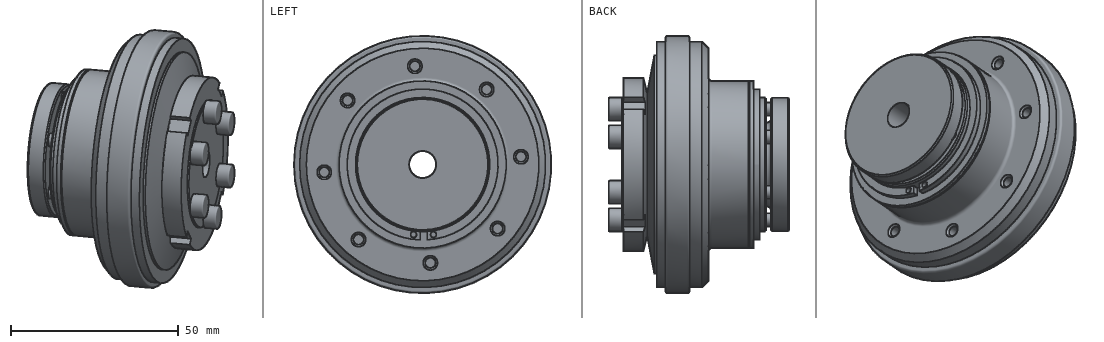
import cadquery as cq
import math


DISC_END = 5.55
COLLAR_START = 6.9
COLLAR_END = 8.8
SNAP_RING_END = 10.6
NOSE_END = 11.85
BODY_END = 24.1
RIM_START = 29.8
RIM_END = 37.0
FLANGE_END = 39.65
CONE_START = 40.35
WAIST = 42.5
LOBE_START = 43.6
LOBE_END = 49.6
HUB_END = 50.05
OVERALL_LENGTH = 54.0

BORE_D = 8.0
DISC_D = 40.0
NECK_D = 25.25
COLLAR_D = 40.1
SNAP_RING_D = 45.1
BODY_D = 50.0
BODY_ROOT_D = 52.0
FLANGE_D = 73.5
RIM_D = 77.0
CONE_D = 65.45
WAIST_D = 42.9
LOBE_D = 52.0
HUB_D = 38.5

DISC_CHAMFER = 0.5
COLLAR_CHAMFER = 0.5
SEAM_CHAMFER = 0.4
FLANGE_CHAMFER = 2.0
RIM_FILLET = 0.7
NECK_FILLET = 1.0
HUB_CHAMFER = 0.2

RING_GAP = 2.1
RING_GAP_OFFSET = -0.27
PLIER_HOLE_D = 1.8
PLIER_HOLE_SPACING = 5.9
PLIER_HOLE_DROP = 20.95

SCREW_COUNT = 6
SCREW_CIRCLE_D = 33.1
SHANK_D = 4.0
HEAD_D = 7.0
HEAD_FILLET = 0.4

TAPPED_COUNT = 8
TAPPED_CIRCLE_D = 59.0
TAPPED_D = 3.1
TAPPED_MOUTH_D = 4.3
TAPPED_DEPTH = 8.0
TAPPED_START_ANGLE = 4.5

NOTCH_COUNT = 4
NOTCH_WIDTH = 5.1
NOTCH_FLOOR = 23.9
NOTCH_START_ANGLE = 45.0

EMBED = 0.8


def polar_points(count, circle_d, start_angle):
    """(y, z) points on a circle, angles measured from +Z toward +Y."""
    points = []
    for i in range(count):
        angle = math.radians(start_angle + i * 360.0 / count)
        points.append((circle_d / 2 * math.sin(angle), circle_d / 2 * math.cos(angle)))
    return points


def section_plane(x):
    """Plane across the axis at x, with local axes along +Y and +Z and normal +X."""
    return cq.Plane(origin=(x, 0, 0), xDir=(0, 1, 0), normal=(1, 0, 0))


def turned_body():
    """Half section of all coaxial steps, revolved about X."""
    arc_mid = 1 - math.sqrt(0.5)
    fillet_drop = NECK_FILLET * arc_mid
    fillet_end = DISC_END + NECK_FILLET
    rim_r = RIM_D / 2
    rim_drop = RIM_FILLET * arc_mid
    root_fillet = (BODY_ROOT_D - BODY_D) / 2
    root_drop = root_fillet * arc_mid
    half_section = (
        cq.Workplane("XY")
        .moveTo(0, BORE_D / 2)
        .lineTo(0, DISC_D / 2 - DISC_CHAMFER)
        .lineTo(DISC_CHAMFER, DISC_D / 2)
        .lineTo(DISC_END - DISC_CHAMFER, DISC_D / 2)
        .lineTo(DISC_END, DISC_D / 2 - DISC_CHAMFER)
        .lineTo(DISC_END, NECK_D / 2 + NECK_FILLET)
        .threePointArc((DISC_END + fillet_drop, NECK_D / 2 + fillet_drop), (fillet_end, NECK_D / 2))
        .lineTo(COLLAR_START, NECK_D / 2)
        .lineTo(COLLAR_START, COLLAR_D / 2 - COLLAR_CHAMFER)
        .lineTo(COLLAR_START + COLLAR_CHAMFER, COLLAR_D / 2)
        .lineTo(COLLAR_END, COLLAR_D / 2)
        .lineTo(COLLAR_END, SNAP_RING_D / 2)
        .lineTo(SNAP_RING_END, SNAP_RING_D / 2)
        .lineTo(SNAP_RING_END, BODY_D / 2)
        .lineTo(NOSE_END, BODY_D / 2)
        .lineTo(NOSE_END, BODY_D / 2 - SEAM_CHAMFER)
        .lineTo(NOSE_END + SEAM_CHAMFER, BODY_D / 2)
        .lineTo(BODY_END - root_fillet, BODY_D / 2)
        .threePointArc((BODY_END - root_drop, BODY_D / 2 + root_drop), (BODY_END, BODY_ROOT_D / 2))
        .lineTo(BODY_END, FLANGE_D / 2 - FLANGE_CHAMFER)
        .lineTo(BODY_END + FLANGE_CHAMFER, FLANGE_D / 2)
        .lineTo(RIM_START, FLANGE_D / 2)
        .lineTo(RIM_START, rim_r - RIM_FILLET)
        .threePointArc((RIM_START + rim_drop, rim_r - rim_drop), (RIM_START + RIM_FILLET, rim_r))
        .lineTo(RIM_END - RIM_FILLET, rim_r)
        .threePointArc((RIM_END - rim_drop, rim_r - rim_drop), (RIM_END, rim_r - RIM_FILLET))
        .lineTo(RIM_END, FLANGE_D / 2)
        .lineTo(FLANGE_END, FLANGE_D / 2)
        .lineTo(FLANGE_END, CONE_D / 2)
        .lineTo(CONE_START, CONE_D / 2)
        .lineTo(WAIST, WAIST_D / 2)
        .lineTo(LOBE_START, LOBE_D / 2)
        .lineTo(LOBE_END, LOBE_D / 2)
        .lineTo(LOBE_END, HUB_D / 2)
        .lineTo(HUB_END, HUB_D / 2 - HUB_CHAMFER)
        .lineTo(HUB_END, BORE_D / 2)
        .close()
    )
    return half_section.revolve(360, (0, 0, 0), (1, 0, 0))


def lobe_notches():
    """Flat-bottomed notches that split the coupling ring into lobes."""
    notch_height = LOBE_D / 2 - NOTCH_FLOOR + EMBED
    notch = (
        cq.Workplane("XY")
        .box(LOBE_END - WAIST, NOTCH_WIDTH, notch_height, centered=(False, True, False))
        .translate((WAIST, 0, NOTCH_FLOOR))
    )
    notches = cq.Workplane("XY")
    for i in range(NOTCH_COUNT):
        angle = NOTCH_START_ANGLE + i * 360.0 / NOTCH_COUNT
        notches = notches.add(notch.rotate((0, 0, 0), (1, 0, 0), angle))
    return notches.combine()


def snap_ring_cuts():
    """Gap in the snap ring at the bottom, and the plier hole on each side of it."""
    thickness = SNAP_RING_END - COLLAR_END
    plane = section_plane(COLLAR_END)
    ring = cq.Workplane(plane).circle(SNAP_RING_D / 2).circle(COLLAR_D / 2).extrude(thickness)
    hole_points = [
        (RING_GAP_OFFSET + side * PLIER_HOLE_SPACING / 2, -PLIER_HOLE_DROP) for side in (-1, 1)
    ]
    gap = (
        cq.Workplane(plane)
        .center(RING_GAP_OFFSET, -SNAP_RING_D / 2)
        .rect(RING_GAP, SNAP_RING_D - COLLAR_D + 2 * EMBED)
        .extrude(thickness)
    )
    holes = (
        cq.Workplane(plane)
        .pushPoints(hole_points)
        .circle(PLIER_HOLE_D / 2)
        .extrude(thickness)
    )
    return ring.intersect(gap.union(holes))


def tapped_holes():
    """Blind tapped holes with a 45 degree countersunk mouth."""
    points = polar_points(TAPPED_COUNT, TAPPED_CIRCLE_D, TAPPED_START_ANGLE)
    mouth_depth = (TAPPED_MOUTH_D - TAPPED_D) / 2
    plane = section_plane(BODY_END)
    drills = cq.Workplane(plane).pushPoints(points).circle(TAPPED_D / 2).extrude(TAPPED_DEPTH)
    mouths = (
        cq.Workplane(plane).pushPoints(points).circle(TAPPED_MOUTH_D / 2).extrude(mouth_depth, taper=45)
    )
    return drills.union(mouths)


def clamping_screws():
    """Screw shanks bridging the clamping gap and screw heads behind the hub."""
    points = polar_points(SCREW_COUNT, SCREW_CIRCLE_D, 0)
    shanks = (
        cq.Workplane(section_plane(DISC_END - EMBED))
        .pushPoints(points)
        .circle(SHANK_D / 2)
        .extrude(COLLAR_START - DISC_END + 2 * EMBED)
    )
    heads = (
        cq.Workplane(section_plane(HUB_END))
        .pushPoints(points)
        .circle(HEAD_D / 2)
        .extrude(OVERALL_LENGTH - HUB_END)
        .faces(">X")
        .edges()
        .fillet(HEAD_FILLET)
    )
    return shanks, heads


shanks, heads = clamping_screws()
result = (
    turned_body()
    .cut(lobe_notches())
    .cut(snap_ring_cuts())
    .cut(tapped_holes())
    .union(shanks)
    .union(heads)
)